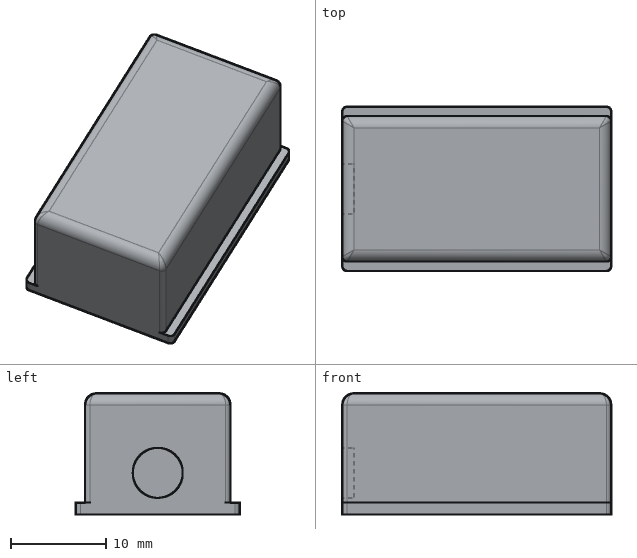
import cadquery as cq

length = 28.3
flange_width = 17.3
height = 12.75

flange_thickness = 1.25
cover_width = 15.3
top_radius = 1.25
corner_radius = 0.5

recess_diameter = 5.25
recess_depth = 1.25
recess_height = 4.4


def make_flange():
    """Flat base plate with rounded vertical corners."""
    plate = cq.Workplane("XY").box(length, flange_width, flange_thickness, centered=(True, True, False))
    return plate.edges("|Z").fillet(corner_radius)


def make_cover():
    """Block with a rounded top rim and smaller rounds running up its corners."""
    block = cq.Workplane("XY").box(length, cover_width, height, centered=(True, True, False))
    rounded_top = block.faces(">Z").edges().fillet(top_radius)
    return rounded_top.edges("|Z").fillet(corner_radius)


def make_recess():
    """Cylinder that sinks into the -X end face."""
    return (
        cq.Workplane("YZ", origin=(-length / 2, 0, recess_height))
        .circle(recess_diameter / 2)
        .extrude(recess_depth)
    )


result = make_flange().union(make_cover()).cut(make_recess())